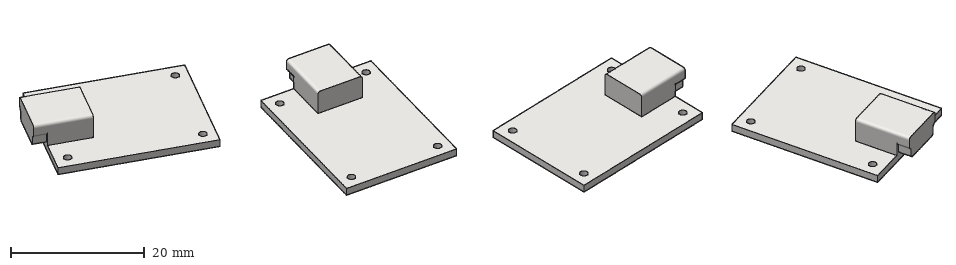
import cadquery as cq
import math

board_width = 19.2
board_thickness = 1.3
total_length = 27.4
total_height = 5.37
overhang = 2.17
board_length = total_length - overhang

hole_diameter = 1.25
hole_inset = 2.08

connector_width = 7.73
connector_length = 9.32
connector_height = total_height - board_thickness
top_radius = 0.5

nose_inset = 0.58
nose_bottom_radius = 0.47
slope_start = 1.65
slope_blend_radius = 0.4


def make_board():
    board = cq.Workplane("XY").box(
        board_width, board_length, board_thickness, centered=(True, False, False)
    )
    hole_spacing_x = board_width - 2 * hole_inset
    hole_spacing_y = board_length - 2 * hole_inset
    return (
        board.faces(">Z")
        .workplane(origin=(0, board_length / 2, board_thickness))
        .rarray(hole_spacing_x, hole_spacing_y, 2, 2)
        .hole(hole_diameter)
    )


def make_connector_body():
    """Full-length housing with rounded upper side edges."""
    return (
        cq.Workplane("XY", origin=(0, -overhang, board_thickness))
        .box(connector_width, connector_length, connector_height, centered=(True, False, False))
        .edges("|Y and >Z")
        .fillet(top_radius)
    )


def make_side_relief():
    """Material removed beside the nose on +X: a round, a flat side and a blended 45 degree slope."""
    outer_x = connector_width / 2
    inner_x = outer_x - nose_inset
    slope_end = slope_start + nose_inset
    blend_reach = slope_blend_radius * math.tan(math.radians(22.5))
    slope_step = blend_reach * math.sqrt(0.5)
    round_centre_x = inner_x - nose_bottom_radius
    diagonal = nose_bottom_radius * math.sqrt(0.5)
    round_middle = (round_centre_x + diagonal, nose_bottom_radius - diagonal)
    return (
        cq.Workplane("XZ", origin=(0, 0, board_thickness))
        .moveTo(round_centre_x, 0)
        .threePointArc(round_middle, (inner_x, nose_bottom_radius))
        .lineTo(inner_x, slope_start - blend_reach)
        .tangentArcPoint((inner_x + slope_step, slope_start + slope_step), relative=False)
        .lineTo(outer_x - slope_step, slope_end - slope_step)
        .tangentArcPoint((outer_x, slope_end + blend_reach), relative=False)
        .lineTo(outer_x, 0)
        .close()
        .extrude(overhang)
    )


side_relief = make_side_relief()
connector = make_connector_body().cut(side_relief).cut(side_relief.mirror("YZ"))
result = make_board().union(connector)

result = result.translate((0, overhang - total_length / 2, 0))